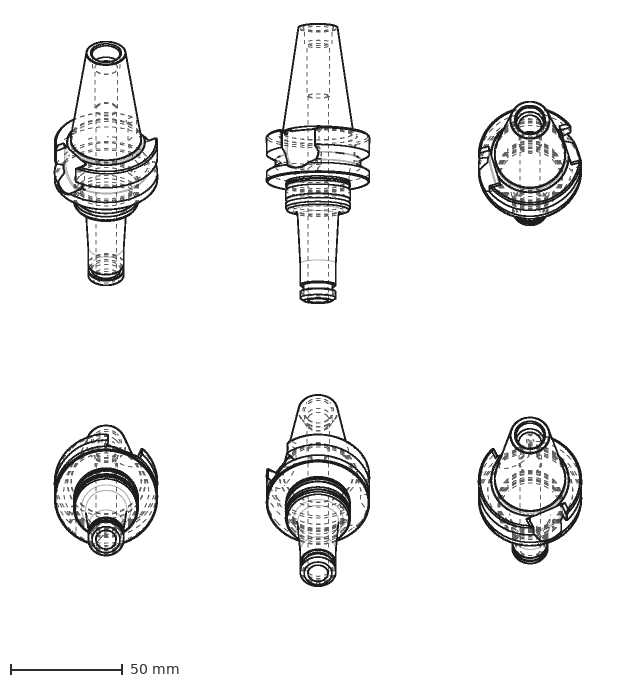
import cadquery as cq
import math

total_height = 124.4
flange_diameter = 46.0

tip_diameter = 12.5
tip_chamfer_height = 1.2
shank_diameter = 16.0
edge_break = 0.2
snap_groove_diameter = 13.0
snap_groove_bottom = 4.1
snap_groove_top = 7.0
shank_top = 17.0

neck_top = 39.3
neck_top_diameter = 18.4

collar_diameter = 28.9
collar_bottom = 41.2
neck_fillet = collar_bottom - neck_top
collar_chamfer_width = 0.6
collar_chamfer_height = 1.1
collar_relief_diameter = 28.5
collar_relief_bottom = 52.9
collar_relief_chamfer_height = 0.2
ring_groove_heights = [45.0, 51.1]
ring_groove_width = 1.9
ring_groove_edge_break = 0.2
ring_groove_depth = 0.6

flange_bottom = 54.0
flange_top = 75.0
flange_bottom_chamfer = 0.5
flange_top_chamfer = 0.7
v_groove_diameter = 38.1
v_groove_bottom = 58.3
v_groove_floor_bottom = 60.6
v_groove_floor_top = 64.2
v_groove_top = 66.5
v_groove_fillet = 0.4
face_recess_diameter = 35.0
face_recess_depth = 0.2

taper_base = 76.4
taper_base_diameter = 31.7
taper_relief_diameter = 31.1
taper_relief_fillet = 0.5
taper_top_diameter = 17.7
taper_top_chamfer = 0.2

bore_mouth_diameter = 13.7
bore_diameter = 12.5
bore_depth = 7.0
thread_bore_diameter = 10.1
thread_bore_depth = 31.1
through_diameter = 9.0

slot_width = 16.0
slot_floor_offset = 16.5
slot_arc_height = 64.7
slot_mouth_chamfer = 1.5
slot_floor_fillet = 0.5
slot_lip_chamfer = 0.4


def cone_height(large_diameter, small_diameter):
    """Height of a 45 degree cone between two diameters."""
    return (large_diameter - small_diameter) / 2


def revolved_body():
    """Solid of revolution for the outside, from the tip up to the taper end."""
    shank_radius = shank_diameter / 2
    groove_radius = snap_groove_diameter / 2
    neck_radius = neck_top_diameter / 2
    collar_radius = collar_diameter / 2
    flange_radius = flange_diameter / 2
    v_radius = v_groove_diameter / 2
    recess_radius = face_recess_diameter / 2
    recess_floor = flange_top - face_recess_depth
    relief_radius = taper_relief_diameter / 2
    base_radius = taper_base_diameter / 2

    profile = (
        cq.Workplane("XZ")
        .moveTo(0, 0)
        .lineTo(tip_diameter / 2, 0)
        .lineTo(shank_radius, tip_chamfer_height)
        .lineTo(shank_radius, snap_groove_bottom - edge_break)
        .lineTo(shank_radius - edge_break, snap_groove_bottom)
        .lineTo(groove_radius, snap_groove_bottom)
        .lineTo(groove_radius, snap_groove_top)
        .lineTo(shank_radius - edge_break, snap_groove_top)
        .lineTo(shank_radius, snap_groove_top + edge_break)
        .lineTo(shank_radius, shank_top)
        .lineTo(neck_radius, neck_top)
        .radiusArc((neck_radius + neck_fillet, collar_bottom), neck_fillet)
        .lineTo(collar_radius - collar_chamfer_width, collar_bottom)
        .lineTo(collar_radius, collar_bottom + collar_chamfer_height)
        .lineTo(collar_radius, collar_relief_bottom)
        .lineTo(collar_relief_diameter / 2, collar_relief_bottom + collar_relief_chamfer_height)
        .lineTo(collar_relief_diameter / 2, flange_bottom)
        .lineTo(flange_radius - flange_bottom_chamfer, flange_bottom)
        .lineTo(flange_radius, flange_bottom + flange_bottom_chamfer)
        .lineTo(flange_radius, v_groove_bottom)
        .lineTo(v_radius, v_groove_floor_bottom)
        .lineTo(v_radius, v_groove_floor_top)
        .lineTo(flange_radius, v_groove_top)
        .lineTo(flange_radius, flange_top - flange_top_chamfer)
        .lineTo(flange_radius - flange_top_chamfer, flange_top)
        .lineTo(recess_radius, flange_top)
        .lineTo(recess_radius - face_recess_depth, recess_floor)
        .lineTo(relief_radius + taper_relief_fillet, recess_floor)
        .radiusArc((relief_radius, recess_floor + taper_relief_fillet), taper_relief_fillet)
        .lineTo(relief_radius, taper_base)
        .lineTo(base_radius, taper_base)
        .lineTo(taper_top_diameter / 2, total_height - taper_top_chamfer)
        .lineTo(taper_top_diameter / 2 - taper_top_chamfer, total_height)
        .lineTo(0, total_height)
        .close()
    )
    return profile.revolve(360, (0, 0, 0), (0, 1, 0))


def round_v_groove_corners(body):
    """Round the two inner corners of the gripper groove."""
    v_radius = v_groove_diameter / 2
    corner_heights = (v_groove_floor_bottom, v_groove_floor_top)
    reach = v_groove_fillet / 2
    for height in corner_heights:
        selector = cq.selectors.BoxSelector(
            (-v_radius - reach, -v_radius - reach, height - reach),
            (v_radius + reach, v_radius + reach, height + reach),
            boundingbox=True,
        )
        body = body.edges(selector).edges("%CIRCLE").fillet(v_groove_fillet)
    return body


def ring_groove(height):
    """Round-bottomed ring cutter with broken edges around the collar at the given height."""
    collar_radius = collar_diameter / 2
    shoulder_radius = collar_radius - ring_groove_edge_break
    half_width = ring_groove_width / 2
    inner_half_width = half_width - ring_groove_edge_break
    return (
        cq.Workplane("XZ")
        .moveTo(collar_radius, height - half_width)
        .lineTo(shoulder_radius, height - inner_half_width)
        .threePointArc(
            (collar_radius - ring_groove_depth, height),
            (shoulder_radius, height + inner_half_width),
        )
        .lineTo(collar_radius, height + half_width)
        .close()
        .revolve(360, (0, 0, 0), (0, 1, 0))
    )


def stepped_bore():
    """Chamfered counterbore, conical seat, thread bore and through hole."""
    mouth_height = cone_height(bore_mouth_diameter, bore_diameter)
    seat_top = total_height - bore_depth
    seat_bottom = seat_top - cone_height(bore_diameter, thread_bore_diameter)
    thread_end = total_height - thread_bore_depth
    return (
        cq.Workplane("XZ")
        .moveTo(0, 0)
        .lineTo(through_diameter / 2, 0)
        .lineTo(through_diameter / 2, thread_end)
        .lineTo(thread_bore_diameter / 2, thread_end)
        .lineTo(thread_bore_diameter / 2, seat_bottom)
        .lineTo(bore_diameter / 2, seat_top)
        .lineTo(bore_diameter / 2, total_height - mouth_height)
        .lineTo(bore_mouth_diameter / 2, total_height)
        .lineTo(0, total_height)
        .close()
        .revolve(360, (0, 0, 0), (0, 1, 0))
    )


def drive_slot():
    """Cutter for the -Y drive slot: round lower end, chamfered mouth, filleted floor."""
    half_width = slot_width / 2
    slot_depth = flange_diameter / 2 - slot_floor_offset
    pocket = (
        cq.Workplane("XZ", origin=(0, -slot_floor_offset, 0))
        .moveTo(-half_width, flange_top)
        .lineTo(-half_width, slot_arc_height)
        .threePointArc((0, slot_arc_height - half_width), (half_width, slot_arc_height))
        .lineTo(half_width, flange_top)
        .close()
        .extrude(slot_depth)
        .faces(">Y")
        .edges("not >Z")
        .fillet(slot_floor_fillet)
    )
    mouth = (
        cq.Workplane("XZ", origin=(0, -slot_floor_offset, 0))
        .moveTo(-half_width, flange_top - slot_mouth_chamfer)
        .lineTo(half_width, flange_top - slot_mouth_chamfer)
        .lineTo(half_width + slot_mouth_chamfer, flange_top)
        .lineTo(-half_width - slot_mouth_chamfer, flange_top)
        .close()
        .extrude(slot_depth)
    )
    return pocket.union(mouth)


def chamfer_slot_lips(body):
    """Chamfer the outer edges of both slots on the two rims of the flange."""
    rim_radius = flange_diameter / 2
    half_mouth = slot_width / 2 + slot_mouth_chamfer
    inner_reach = math.sqrt(rim_radius**2 - half_mouth**2) - flange_top_chamfer
    rim_heights = (
        (flange_bottom + flange_bottom_chamfer * 2, v_groove_bottom),
        (v_groove_top, flange_top - flange_top_chamfer / 4),
    )
    for side in (-1, 1):
        for low, high in rim_heights:
            selector = cq.selectors.BoxSelector(
                (-half_mouth, side * inner_reach, low),
                (half_mouth, side * rim_radius, high),
            )
            body = body.edges(selector).edges("not %CIRCLE").chamfer(slot_lip_chamfer)
    return body


result = round_v_groove_corners(revolved_body())
result = result.cut(stepped_bore())
for groove_height in ring_groove_heights:
    result = result.cut(ring_groove(groove_height))
for slot_angle in (0, 180):
    result = result.cut(drive_slot().rotate((0, 0, 0), (0, 0, 1), slot_angle))
result = chamfer_slot_lips(result)